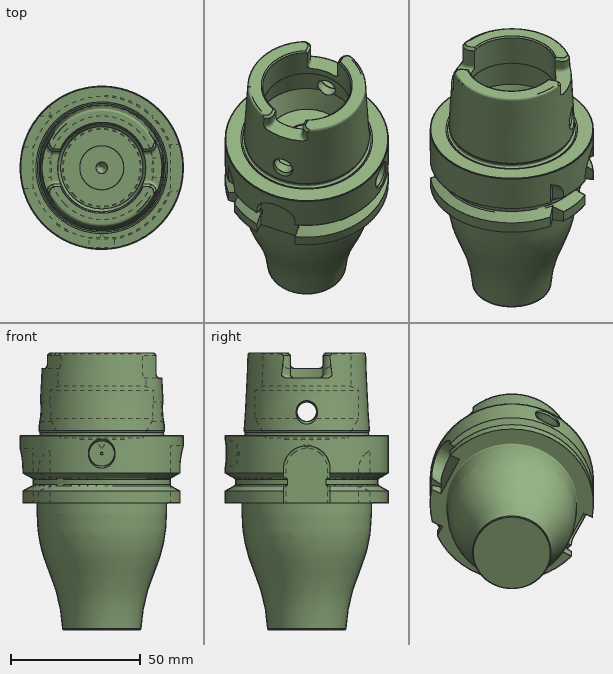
import cadquery as cq
import math


shank_length = 31.85
gauge_radius = 24.005
gauge_height = 6.3
taper_slope = 1 / 19.96
taper_start = 1.85
relief_radius = 23.9
relief_top = 1.1
root_round = 0.5
shank_rim_round = 1.0

recess_depth = 0.2
recess_floor_radius = 24.8
recess_mouth_radius = 25.4

flange_radius = 31.5
flange_height = 26.0
flange_edge_chamfer = 0.25
groove_centre = 18.0
groove_width = 7.0
groove_radius = 27.5
groove_lip_radius = 28.0
groove_flank_angle = 30.0

nose_length = 75.0
neck_radius = 25.0
neck_round = 0.5
neck_end = 30.0
bend_radius = 20.35
bend_depth = 52.5
tip_radius = 15.15
tip_chamfer_height = 0.5
tip_chamfer_width = 0.3

bore_radius = 17.0
bore_rim_chamfer = 0.55
bore_end = 19.0
chamber_radius = 20.0
chamber_shoulder_angle = 60.0
chamber_bottom = 6.5
bore_floor_radius = 15.85
bore_floor = -1.0
floor_disc_radius = 8.5
floor_disc_depth = 0.5
centre_pit_radius = 2.2
centre_pit_angle = 60.0

drive_slot_width = 12.54
drive_slot_depth_minus_x = 6.0
drive_slot_depth_plus_x = 9.8
drive_slot_step_x = 21.0
drive_slot_corner_round = 3.0
drive_slot_chamfer = 1.0
drive_slot_floor_round = 1.5

cross_hole_radius = 3.75
cross_hole_height = 9.1
cross_hole_mouth_radius = 4.5
chip_hole_radius = 4.9
chip_hole_mouth_radius = 5.6
chip_hole_height = -7.0
chip_hole_depth = 4.6
chip_pit_radius = 0.5
chip_pit_depth = 1.0

keyway_arch_centre = -13.0
keyway_floor = 26.5
keyway_width_minus_x = 16.0
keyway_width_plus_x = 18.0
corner_notch_inner_x = 20.0
corner_notch_inner_y = 20.0
corner_notch_width = 16.0
corner_notch_centre_y = corner_notch_inner_y + corner_notch_width / 2

clearance = 5.0
mouth_clearance = 1.0


def taper_radius(height):
    return gauge_radius - (height - gauge_height) * taper_slope


def make_body():
    flank = math.tan(math.radians(groove_flank_angle))
    flank_height = (flange_radius - groove_lip_radius) * flank
    groove_top = -groove_centre + groove_width / 2
    groove_bottom = -groove_centre - groove_width / 2
    rim_radius = taper_radius(shank_length - shank_rim_round)
    groove_round = groove_lip_radius - groove_radius
    tip = -nose_length
    neck = (neck_radius, -neck_end)
    bend = (bend_radius, -bend_depth)
    profile = (
        cq.Workplane("XZ")
        .moveTo(0, shank_length)
        .lineTo(rim_radius - shank_rim_round, shank_length)
        .radiusArc((rim_radius, shank_length - shank_rim_round), shank_rim_round)
        .lineTo(taper_radius(taper_start), taper_start)
        .lineTo(relief_radius, relief_top)
        .lineTo(relief_radius, root_round - recess_depth)
        .radiusArc((relief_radius + root_round, -recess_depth), -root_round)
        .lineTo(recess_floor_radius, -recess_depth)
        .lineTo(recess_mouth_radius, 0)
        .lineTo(flange_radius - flange_edge_chamfer, 0)
        .lineTo(flange_radius, -flange_edge_chamfer)
        .lineTo(flange_radius, groove_top)
        .lineTo(groove_lip_radius, groove_top - flank_height)
        .radiusArc((groove_radius, groove_top - flank_height - groove_round), -groove_round)
        .lineTo(groove_radius, groove_bottom + flank_height + groove_round)
        .radiusArc((groove_lip_radius, groove_bottom + flank_height), -groove_round)
        .lineTo(flange_radius, groove_bottom)
        .lineTo(flange_radius, -flange_height)
        .lineTo(neck_radius + neck_round, -flange_height)
        .radiusArc((neck_radius, -flange_height - neck_round), -neck_round)
        .lineTo(*neck)
        .tangentArcPoint(bend, relative=False)
        .tangentArcPoint((tip_radius, tip + tip_chamfer_height), relative=False)
        .lineTo(tip_radius - tip_chamfer_width, tip)
        .lineTo(0, tip)
        .close()
    )
    return profile.revolve(360, (0, 0, 0), (0, 1, 0))


def make_bore():
    pit_depth = centre_pit_radius / math.tan(math.radians(centre_pit_angle / 2))
    shoulder_height = (chamber_radius - bore_radius) / math.tan(math.radians(chamber_shoulder_angle))
    disc_floor = bore_floor - floor_disc_depth
    profile = (
        cq.Workplane("XZ")
        .moveTo(0, shank_length)
        .lineTo(bore_radius + bore_rim_chamfer, shank_length)
        .lineTo(bore_radius, shank_length - bore_rim_chamfer)
        .lineTo(bore_radius, bore_end)
        .lineTo(chamber_radius, bore_end - shoulder_height)
        .lineTo(chamber_radius, chamber_bottom)
        .lineTo(bore_floor_radius, bore_floor)
        .lineTo(floor_disc_radius, bore_floor)
        .lineTo(floor_disc_radius, disc_floor)
        .lineTo(centre_pit_radius, disc_floor)
        .lineTo(0, disc_floor - pit_depth)
        .close()
    )
    return profile.revolve(360, (0, 0, 0), (0, 1, 0))


def drive_slot_section(workplane, side, offset):
    """Closed slot outline: straight walls whose outer corners open out in rounds to a shallow step."""
    half = drive_slot_width / 2 + offset
    corner = drive_slot_corner_round - offset
    corner_y = half + corner
    step_x = side * (drive_slot_step_x - offset)
    corner_x = side * (drive_slot_step_x - drive_slot_corner_round)
    far_x = side * (gauge_radius + clearance)
    far_y = drive_slot_width + clearance
    return (
        workplane.moveTo(0, -half)
        .lineTo(corner_x, -half)
        .radiusArc((step_x, -corner_y), side * corner)
        .lineTo(step_x, -far_y)
        .lineTo(far_x, -far_y)
        .lineTo(far_x, far_y)
        .lineTo(step_x, far_y)
        .lineTo(step_x, corner_y)
        .radiusArc((corner_x, half), side * corner)
        .lineTo(0, half)
        .close()
    )


def make_drive_slot(side, depth):
    """Slot through one side of the shank wall, with a rounded floor and a chamfered top edge."""
    floor = cq.Workplane("XY", origin=(0, 0, shank_length - depth))
    slot = drive_slot_section(floor, side, 0).extrude(depth)
    slot = slot.faces("<Z").edges().fillet(drive_slot_floor_round)
    chamfer_base = cq.Workplane("XY", origin=(0, 0, shank_length - drive_slot_chamfer))
    chamfer = drive_slot_section(chamfer_base, side, 0)
    chamfer = drive_slot_section(chamfer.workplane(offset=drive_slot_chamfer), side, drive_slot_chamfer)
    return slot.union(chamfer.loft(ruled=True))


def make_countersunk_hole(radius, mouth_radius, surface, floor):
    """Hole along X from the floor outwards, with a 45 degree mouth of the given radius at the surface."""
    mouth_depth = mouth_radius - radius
    mouth = cq.Workplane("YZ", origin=(surface - mouth_depth, 0, 0)).circle(radius)
    mouth = mouth.workplane(offset=mouth_depth + mouth_clearance).circle(mouth_radius + mouth_clearance)
    hole = cq.Workplane("YZ", origin=(floor, 0, 0)).circle(radius)
    return hole.extrude(surface - mouth_depth - floor).union(mouth.loft(ruled=True))


def make_cross_hole(turn):
    """Countersunk hole through one shank wall into the bore."""
    surface = taper_radius(cross_hole_height)
    hole = make_countersunk_hole(cross_hole_radius, cross_hole_mouth_radius, surface, bore_radius / 2)
    return hole.rotate((0, 0, 0), (0, 0, 1), turn).translate((0, 0, cross_hole_height))


def make_chip_hole():
    """Blind hole for a data chip on the -Y side of the flange, with a small pit in its floor."""
    floor = flange_radius - chip_hole_depth
    hole = make_countersunk_hole(chip_hole_radius, chip_hole_mouth_radius, flange_radius, floor)
    pit = cq.Workplane("YZ", origin=(floor - chip_pit_depth, 0, 0)).circle(chip_pit_radius)
    hole = hole.union(pit.extrude(chip_pit_depth))
    return hole.rotate((0, 0, 0), (0, 0, 1), -90).translate((0, 0, chip_hole_height))


def make_arched_slot(centre_y, width, inner_x, side):
    """Slot cut along X from the outside down to inner_x, arched at the top, open below the flange."""
    reach = flange_radius + clearance - inner_x
    drop = flange_height + keyway_arch_centre
    plane = cq.Workplane("YZ", origin=(side * inner_x, centre_y, keyway_arch_centre))
    arch = plane.circle(width / 2).extrude(side * reach)
    channel = plane.center(0, -drop / 2).rect(width, drop).extrude(side * reach)
    return arch.union(channel)


result = make_body().cut(make_bore())
result = result.cut(make_drive_slot(-1, drive_slot_depth_minus_x))
result = result.cut(make_drive_slot(1, drive_slot_depth_plus_x))
result = result.cut(make_cross_hole(0)).cut(make_cross_hole(180))
result = result.cut(make_chip_hole())
result = result.cut(make_arched_slot(0, keyway_width_minus_x, keyway_floor, -1))
result = result.cut(make_arched_slot(0, keyway_width_plus_x, keyway_floor, 1))
result = result.cut(make_arched_slot(corner_notch_centre_y, corner_notch_width, corner_notch_inner_x, -1))